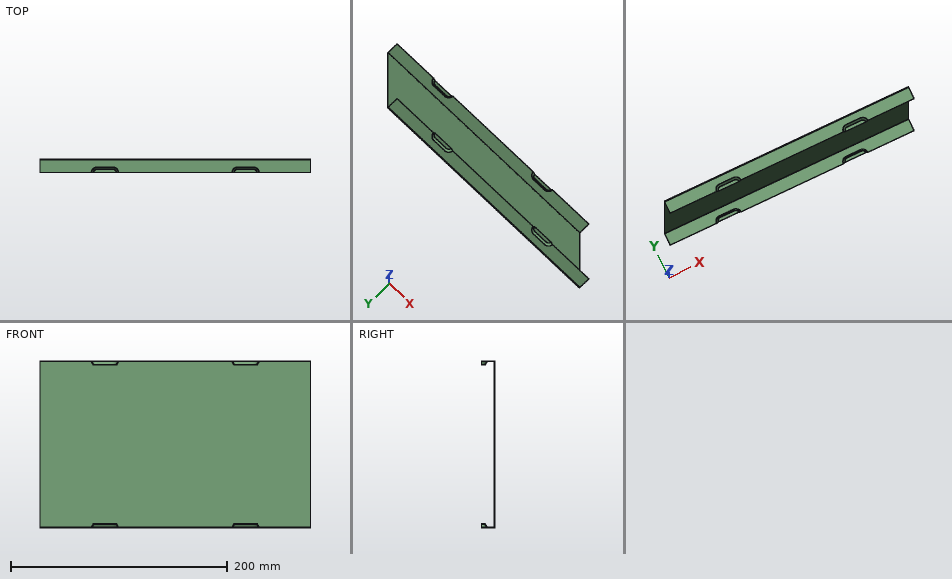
import cadquery as cq
import math

length = 250.0
flange_depth = 12.5
height = 154.5
sheet = 0.75

dimple_spacing = 130.0
dimple_width = 24.5
dimple_reach = 4.85
dimple_press = 3.25
dimple_corner = 5.0
wall_draft = 30.0

free_edge_y = -flange_depth / 2
flange_top_z = height / 2

draft_angle = math.radians(wall_draft)
skin_growth = sheet * (1 / math.cos(draft_angle) - math.tan(draft_angle))


def envelope():
    """Block that bounds the whole panel, centred on the origin."""
    return cq.Workplane("XY").box(length, flange_depth, height)


def channel():
    """Web with its two plain flanges."""
    inside = cq.Workplane("XY").box(length, flange_depth, height - 2 * sheet).translate((0, -sheet, 0))
    return envelope().cut(inside)


def tapered_block(centre_x, top_z, growth):
    """Round-cornered block narrowing downward from top_z, cut off flat at the free edge."""
    back_y = free_edge_y + dimple_reach + growth
    block_depth = 4 * dimple_reach
    block = (
        cq.Workplane("XY", origin=(centre_x, back_y - block_depth / 2, top_z))
        .sketch()
        .rect(dimple_width + 2 * growth, block_depth)
        .vertices()
        .fillet(dimple_corner + growth)
        .finalize()
        .extrude(-dimple_press, taper=wall_draft)
    )
    return block.intersect(envelope())


def add_top_dimple(body, centre_x):
    """Press one dimple down into the top flange."""
    skin = tapered_block(centre_x, flange_top_z - sheet, skin_growth)
    hollow = tapered_block(centre_x, flange_top_z, 0.0)
    return body.union(skin).cut(hollow)


def add_dimples(body):
    """Press the top flange's dimples, then mirror the upper half to form the lower one."""
    for side in (-1, 1):
        body = add_top_dimple(body, side * dimple_spacing / 2)
    upper_half = body.intersect(envelope().translate((0, 0, height / 2)))
    return upper_half.union(upper_half.mirror("XY")).clean()


result = add_dimples(channel())